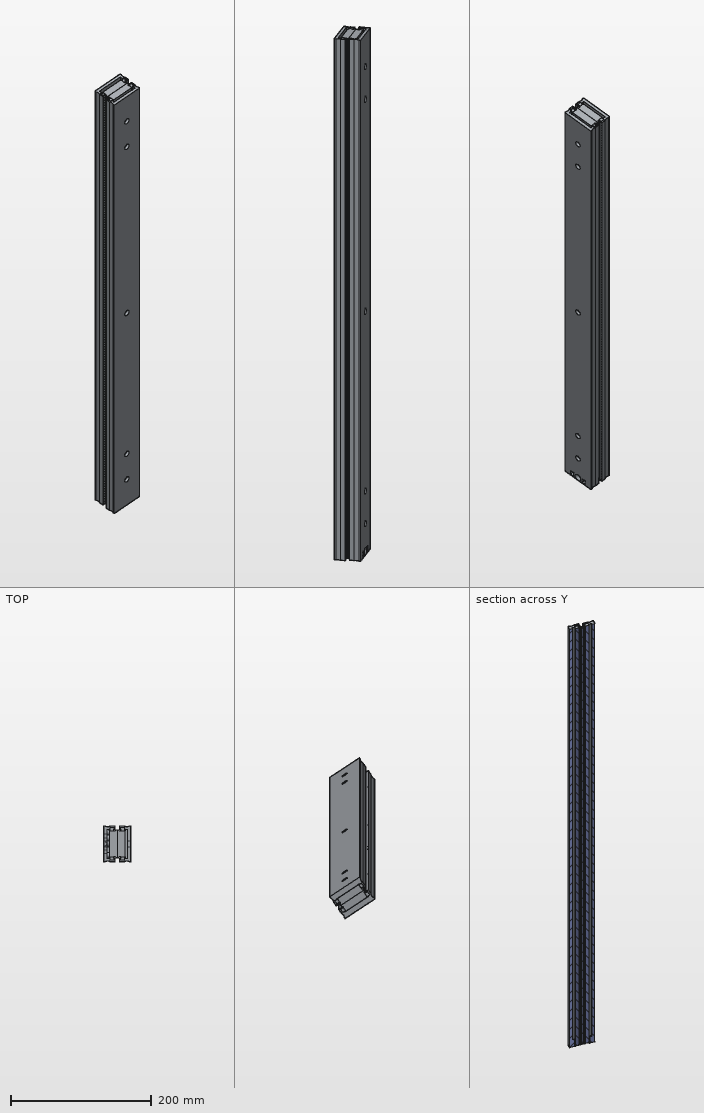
import cadquery as cq
import math

width = 39.0
height = 51.0
overall_length = 800
end_offset = 2.0
rail_length = overall_length - end_offset
bar_length = overall_length - 2 * end_offset
LEFT, RIGHT = -1, 1
sides = (LEFT, RIGHT)

wall = 5.0
flange_end_x = 3.0
flute_edge_inset = 2.0
flute_width = 7.0
flute_depth = 1.0
web_outer_x = width / 2
web_inner_x = web_outer_x - wall
flange_inner_y = height / 2 - wall

bar_thickness = 11.0
bar_half_height = 20.0
neck_bevel = 2.0

cage_inner_x = 5.0
cage_outer_x = 10.0
cage_bottom_y = bar_half_height - neck_bevel
cage_top_y = 23.0

hole_diameter = 9.0
hole_pitch = 100.0
end_hole_inset = hole_pitch / 2
middle_hole_z = 375.0
hole_places = (
    end_hole_inset,
    hole_pitch,
    middle_hole_z,
    overall_length - hole_pitch,
    overall_length - end_hole_inset,
)

stop_top_z = 13.0
ridge_count = 5
ridge_radius = flange_inner_y / ridge_count

seat_z = 7.6
seat_diameter = 11.0
screw_hole_diameter = 3.0
seat_angle = 90
window_width = 6.0
window_height = 7.0
window_offset = 11.0


def box_between(x_range, y_range, z_range):
    """Box between two corners; each range may be given in either order."""
    spans = [(min(r), max(r)) for r in (x_range, y_range, z_range)]
    sizes = [high - low for low, high in spans]
    lows = [low for low, high in spans]
    return cq.Workplane("XY").box(*sizes, centered=False).translate(tuple(lows))


def cage(side, end, start_z, length):
    """Straight cage strip between one flange and one bar."""
    return box_between(
        (side * cage_inner_x, side * cage_outer_x),
        (end * cage_bottom_y, end * cage_top_y),
        (start_z, start_z + length),
    )


def rail_channel(side, start_z):
    """C-shaped rail with a shallow flute outside and a cage seat inside each flange."""
    flute_start_x = web_outer_x - flute_edge_inset
    flute_end_x = flute_start_x - flute_width
    flute_middle_x = (flute_start_x + flute_end_x) / 2
    top_y = height / 2
    profile = (
        cq.Workplane("XY")
        .workplane(offset=start_z)
        .moveTo(side * web_outer_x, -top_y)
        .lineTo(side * web_outer_x, top_y)
        .lineTo(side * flute_start_x, top_y)
        .threePointArc((side * flute_middle_x, top_y - flute_depth), (side * flute_end_x, top_y))
        .lineTo(side * flange_end_x, top_y)
        .lineTo(side * flange_end_x, flange_inner_y)
        .lineTo(side * web_inner_x, flange_inner_y)
        .lineTo(side * web_inner_x, -flange_inner_y)
        .lineTo(side * flange_end_x, -flange_inner_y)
        .lineTo(side * flange_end_x, -top_y)
        .lineTo(side * flute_end_x, -top_y)
        .threePointArc((side * flute_middle_x, flute_depth - top_y), (side * flute_start_x, -top_y))
        .close()
    )
    channel = profile.extrude(rail_length)
    for end in (-1, 1):
        channel = channel.cut(cage(side, end, 0, overall_length))
    return channel


def drill_web(channel, side):
    """Row of mounting holes through the web."""
    holes = (
        cq.Workplane("YZ")
        .workplane(offset=side * web_inner_x)
        .pushPoints([(0, z) for z in hole_places])
        .circle(hole_diameter / 2)
        .extrude(side * wall)
    )
    return channel.cut(holes)


def end_stop(side, start_z):
    """Block that closes the space between the web and the bar at the lower end."""
    return box_between(
        (side * bar_thickness, side * web_inner_x),
        (-flange_inner_y, flange_inner_y),
        (start_z, stop_top_z),
    )


def stop_ridges(side):
    """Half-round ridges side by side on top of an end stop."""
    first_y = -flange_inner_y + ridge_radius
    return (
        cq.Workplane("YZ")
        .workplane(offset=side * bar_thickness)
        .pushPoints([(first_y + 2 * ridge_radius * i, stop_top_z) for i in range(ridge_count)])
        .circle(ridge_radius)
        .extrude(side * (web_inner_x - bar_thickness))
    )


def cut_stop_screw_seat(rail):
    """Countersunk screw hole and a window on either side of it, in the outer face."""
    seat = cq.Workplane("YZ", origin=(-web_outer_x, 0, seat_z))
    cone_depth = (seat_diameter - screw_hole_diameter) / 2 / math.tan(math.radians(seat_angle / 2))
    cone = seat.circle(seat_diameter / 2).workplane(offset=cone_depth).circle(screw_hole_diameter / 2).loft()
    hole = seat.circle(screw_hole_diameter / 2).extrude(web_outer_x - bar_thickness)
    windows = (
        seat.pushPoints([(-window_offset, 0), (window_offset, 0)])
        .rect(window_width, window_height)
        .extrude(wall)
    )
    return rail.cut(cone).cut(hole).cut(windows)


def left_rail():
    """Rail with a ridged end stop and a screw seat beside it."""
    rail = drill_web(rail_channel(LEFT, end_offset), LEFT)
    rail = rail.union(end_stop(LEFT, end_offset)).union(stop_ridges(LEFT))
    return cut_stop_screw_seat(rail)


def right_rail():
    """Rail with a plain end stop, set lower than the left rail."""
    rail = drill_web(rail_channel(RIGHT, 0), RIGHT)
    return rail.union(end_stop(RIGHT, 0))


def inner_bar(side):
    """Bar with a bevelled neck at the rail opening and a cage shelf along each edge."""
    neck_x = flange_end_x - neck_bevel
    half_profile = [
        (0, bar_half_height),
        (neck_x, bar_half_height),
        (flange_end_x, cage_bottom_y),
        (bar_thickness, cage_bottom_y),
    ]
    outline = half_profile + [(x, -y) for x, y in reversed(half_profile)]
    return (
        cq.Workplane("XY")
        .workplane(offset=end_offset)
        .polyline([(side * x, y) for x, y in outline])
        .close()
        .extrude(bar_length)
    )


inner_bars = [inner_bar(side) for side in sides]
ball_cages = [cage(side, end, end_offset, bar_length) for side in sides for end in (-1, 1)]

bodies = [left_rail(), right_rail(), *inner_bars, *ball_cages]
result = cq.Compound.makeCompound([body.val() for body in bodies])